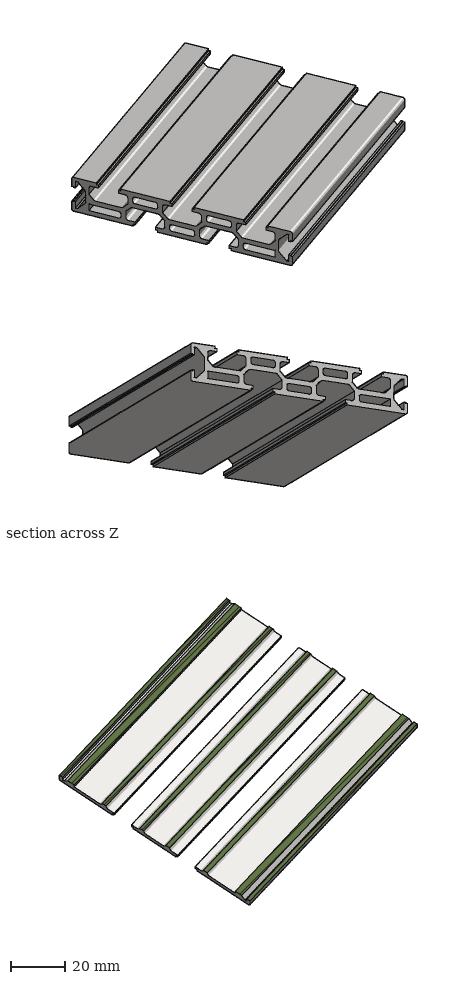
import cadquery as cq

WIDTH = 90.0
LENGTH = 100.0
HEIGHT = 15.0
CORNER_RADIUS = 1.0

SLOT_PITCH = 15.0
TOP_SLOT_CENTRES = (-2 * SLOT_PITCH, 0.0, 2 * SLOT_PITCH)
BOTTOM_SLOT_CENTRES = (-SLOT_PITCH, SLOT_PITCH)

SLOT_OPENING = 8.2
SLOT_WIDTH = 15.8
SLOT_DEPTH = 8.1
SLOT_LIP = 2.0
SLOT_FLOOR_CHAMFER = 2.3
SLOT_LIP_RADIUS = 1.2

SIDE_OPENING = 6.0
SIDE_WIDTH = 11.8
SIDE_DEPTH = 5.7
SIDE_LIP = 1.6
SIDE_FLOOR_CHAMFER = 3.3

FLOOR_BLEND_RADIUS = 1.0

STEP_DEPTH = 0.8
SLOT_STEP = 0.8
SIDE_STEP = 0.3

CHAMBER_WIDTH = 10.2
CHAMBER_HEIGHT = 2.9
CHAMBER_RADIUS = 1.0
CHAMBER_CENTRE_Z = HEIGHT / 2 - SLOT_LIP - CHAMBER_HEIGHT / 2


def bar(x_min, x_max, z_min, z_max):
    """Rectangular bar running the full length of the profile."""
    return cq.Workplane("XY").box(x_max - x_min, LENGTH, z_max - z_min).translate(
        ((x_min + x_max) / 2, 0, (z_min + z_max) / 2)
    )


def t_slot(opening, width, depth, lip, floor_chamfer, step, lip_radius=0.0):
    """T-slot cutter that opens upward, with its mouth at z = 0 and centred on x = 0."""
    cavity = bar(-width / 2, width / 2, -depth, -lip)
    cavity = cavity.edges("|Y and <Z").chamfer(floor_chamfer)
    cavity = cavity.edges("|Y and <Z").fillet(FLOOR_BLEND_RADIUS)
    if lip_radius > 0:
        cavity = cavity.edges("|Y and >Z").fillet(lip_radius)
    mouth = bar(-opening / 2, opening / 2, -lip, 0)
    mouth_step = bar(-opening / 2 - step, opening / 2 + step, -STEP_DEPTH, 0)
    return cavity.union(mouth).union(mouth_step)


def face_slot():
    """Slot cutter for the top face, at x = 0."""
    cutter = t_slot(
        SLOT_OPENING, SLOT_WIDTH, SLOT_DEPTH, SLOT_LIP, SLOT_FLOOR_CHAMFER, SLOT_STEP, SLOT_LIP_RADIUS
    )
    return cutter.translate((0, 0, HEIGHT / 2))


def side_slot():
    """Slot cutter for the +X side."""
    cutter = t_slot(SIDE_OPENING, SIDE_WIDTH, SIDE_DEPTH, SIDE_LIP, SIDE_FLOOR_CHAMFER, SIDE_STEP)
    return cutter.rotate((0, 0, 0), (0, 1, 0), 90).translate((WIDTH / 2, 0, 0))


def chamber(x, z):
    """Closed chamber with four rounded corners."""
    half_width = CHAMBER_WIDTH / 2
    half_height = CHAMBER_HEIGHT / 2
    cutter = bar(x - half_width, x + half_width, z - half_height, z + half_height)
    return cutter.edges("|Y").fillet(CHAMBER_RADIUS)


def end_chamber():
    """Wider chamber under the right-hand top slot, square at its outer end."""
    slot_x = TOP_SLOT_CENTRES[-1]
    half_height = CHAMBER_HEIGHT / 2
    cutter = bar(
        slot_x - CHAMBER_WIDTH / 2,
        slot_x + SLOT_WIDTH / 2,
        -CHAMBER_CENTRE_Z - half_height,
        -CHAMBER_CENTRE_Z + half_height,
    )
    return cutter.edges("|Y and <X").fillet(CHAMBER_RADIUS)


profile = bar(-WIDTH / 2, WIDTH / 2, -HEIGHT / 2, HEIGHT / 2)
profile = profile.edges("|Y").fillet(CORNER_RADIUS)

for slot_x in TOP_SLOT_CENTRES:
    profile = profile.cut(face_slot().translate((slot_x, 0, 0)))

for slot_x in BOTTOM_SLOT_CENTRES:
    profile = profile.cut(face_slot().mirror("XY").translate((slot_x, 0, 0)))
    profile = profile.cut(chamber(slot_x, CHAMBER_CENTRE_Z))

profile = profile.cut(chamber(0, -CHAMBER_CENTRE_Z))

for side_cutter in (side_slot(), end_chamber()):
    profile = profile.cut(side_cutter)
    profile = profile.cut(side_cutter.mirror("YZ"))

result = profile